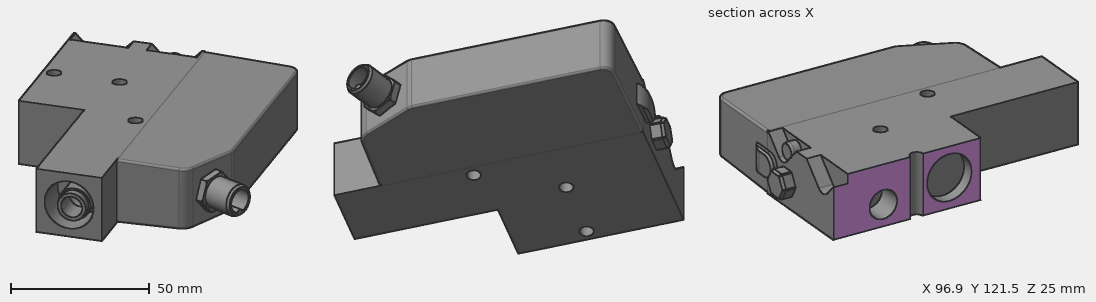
import math

import cadquery as cq

thickness = 25.0
mid_z = thickness / 2
half_width = 24.9
block_width = 2 * half_width
overall_length = 121.5
block_length = 116.3
step_y = 54.0

mount_hole_dia = 5.2
mount_holes = [(4.4, 81.0), (4.4 + half_width, 81.0), (45.3, 51.2)]
port_dia = 18.6
side_port_y = 67.2
side_port_depth = 9.4
side_hole_dia = 11.4
side_hole_y = 95.1
side_hole_z = 8.9
side_hole_depth = 14.6

end_port_x = 1.5 * half_width
end_port_depth = 14.6
nozzle_dia = 12.0
nozzle_tip_dia = 10.7
nozzle_bore_dia = 8.0
nozzle_z = 10.5
nozzle_recess = 2.9
nozzle_tip_length = 3.0
nozzle_bore_depth = 9.7
drill_point_half_angle = 59

notch_length = 6.0
left_notch_x = 11.7
left_notch_width = 22.1
left_notch_round_dia = 8.0
right_notch_x = 39.2
right_notch_width = 19.2
right_notch_round_dia = 7.0

plug_length = 4.1
plug_chamfer_length = 1.2
plug_chamfer = 0.4

head_x = 36.0
head_z = 10.3
head_flats = 10.2
head_dia = 11.4
head_height = overall_length - block_length
head_chamfer_height = 1.2
head_chamfer = 0.6

lever_x = 47.7
lever_radius = 5.0
lever_height = 2.5
lever_chamfer_height = 1.2
lever_chamfer = 0.6
lever_slope_x = 51.3
lever_slope_middle = (54.4, block_length + 1.6)
lever_foot_x = 57.1
lever_foot_drop = 0.4

housing_y = 17.0
housing_width = 36.6
housing_draft = 1.2
housing_corner_radius = 4.4
housing_foot_radius = 5.0
housing_edge_radius = 0.9
slope_foot = (76.2, 17.5)
slope_angle = 65

slope_to_axis = 12.5
nut_flats = 13.5
nut_turn = 11
nut_height = 3.0
nut_chamfer = 0.5
connector_dia = 12.0
connector_length = 14.5
connector_tip_dia = 10.7
connector_chamfer_length = 1.1
socket_dia = 9.0
socket_depth = 7.3
key_dia = 2.4

overlap = 2.4


def y_plane(x, y, z):
    """Sketch plane facing +Y: local x runs along -X, local y along +Z."""
    return cq.Plane(origin=(x, y, z), xDir=(-1, 0, 0), normal=(0, 1, 0))


def block_body():
    outline = [
        (half_width, 0),
        (block_width, 0),
        (block_width, block_length),
        (0, block_length),
        (0, step_y),
        (half_width, step_y),
    ]
    return cq.Workplane("XY").polyline(outline).close().extrude(thickness)


def mounting_holes():
    return cq.Workplane("XY").pushPoints(mount_holes).circle(mount_hole_dia / 2).extrude(thickness)


def side_hole(y, z, dia, depth):
    return cq.Workplane("YZ").center(y, z).circle(dia / 2).extrude(depth)


def notch_round_z(width, round_dia):
    """Height of the rounding axis of a 90-degree V notch open at the top."""
    return thickness - width / 2 + round_dia / 2 * math.sqrt(2)


def notch(x, width, round_dia):
    radius = round_dia / 2
    axis_z = notch_round_z(width, round_dia) - thickness
    tangent = radius / math.sqrt(2)
    return (
        cq.Workplane(y_plane(x, block_length - notch_length, thickness))
        .moveTo(-width / 2, 0)
        .lineTo(-tangent, axis_z - tangent)
        .threePointArc((0, axis_z - radius), (tangent, axis_z - tangent))
        .lineTo(width / 2, 0)
        .close()
        .extrude(notch_length)
    )


def nozzle_port():
    """Space removed at the end port: the port around the nozzle, plus the nozzle bore."""
    port = cq.Workplane("XZ").center(end_port_x, mid_z).circle(port_dia / 2).extrude(-end_port_depth)
    nozzle_axis = cq.Workplane("XZ", origin=(end_port_x, nozzle_recess, nozzle_z))
    tip = nozzle_axis.circle(nozzle_tip_dia / 2).extrude(-end_port_depth)
    shank = nozzle_axis.workplane(offset=-nozzle_tip_length).circle(nozzle_dia / 2).extrude(-end_port_depth)
    nozzle = tip.union(shank)
    bore_radius = nozzle_bore_dia / 2
    bore_end = nozzle_recess + nozzle_bore_depth
    point_end = bore_end + bore_radius / math.tan(math.radians(drill_point_half_angle))
    bore = (
        cq.Workplane("XY", origin=(end_port_x, 0, nozzle_z))
        .polyline([(0, 0), (bore_radius, 0), (bore_radius, bore_end), (0, point_end)])
        .close()
        .revolve(360, (0, 0, 0), (0, 1, 0))
    )
    return port.cut(nozzle).union(bore)


def plug():
    z = notch_round_z(right_notch_width, right_notch_round_dia)
    return (
        cq.Workplane(y_plane(right_notch_x, block_length - notch_length - overlap, z))
        .circle(right_notch_round_dia / 2)
        .extrude(plug_length + overlap)
        .faces(">Y")
        .chamfer(plug_chamfer_length, plug_chamfer)
    )


def hex_head():
    corners_dia = head_flats / math.cos(math.pi / 6)
    plane = y_plane(head_x, block_length - overlap, head_z)
    rounded = (
        cq.Workplane(plane)
        .circle(head_dia / 2)
        .extrude(head_height + overlap)
        .faces(">Y")
        .chamfer(head_chamfer_height, head_chamfer)
    )
    return (
        cq.Workplane(plane)
        .polygon(6, corners_dia)
        .extrude(head_height + overlap)
        .faces(">Y")
        .chamfer(head_chamfer_height, head_chamfer)
        .intersect(rounded)
    )


def lever():
    """Bar with a round end, falling away in an arc toward the housing."""
    top_y = block_length + lever_height
    bar_length = lever_foot_x - lever_x
    body = (
        cq.Workplane(y_plane(lever_x, block_length - overlap, mid_z))
        .moveTo(0, lever_radius)
        .threePointArc((lever_radius, 0), (0, -lever_radius))
        .lineTo(-bar_length, -lever_radius)
        .lineTo(-bar_length, lever_radius)
        .close()
        .extrude(lever_height + overlap)
        .faces(">Y")
        .chamfer(lever_chamfer_height, lever_chamfer)
    )
    slope = (
        cq.Workplane("XY")
        .moveTo(lever_slope_x, top_y)
        .threePointArc(lever_slope_middle, (lever_foot_x, block_length - lever_foot_drop))
        .lineTo(lever_foot_x, top_y)
        .close()
        .extrude(thickness)
    )
    return body.cut(slope)


def housing():
    """Drafted box with a sloping corner for the connector and rounded edges."""
    length = block_length - housing_y
    body = (
        cq.Workplane("YZ", origin=(block_width, housing_y + length / 2, mid_z))
        .rect(length, thickness)
        .extrude(housing_width, taper=housing_draft)
    )
    far_x = block_width + 2 * housing_width
    rise = math.tan(math.radians(slope_angle))
    foot_x, foot_y = slope_foot
    corner = (
        cq.Workplane("XY")
        .moveTo(foot_x - foot_y / rise, 0)
        .lineTo(far_x, 0)
        .lineTo(far_x, foot_y + (far_x - foot_x) * rise)
        .close()
        .extrude(thickness)
    )
    body = body.cut(corner)
    right_x = block_width + housing_width
    slope_top_y = foot_y + (right_x - foot_x) * rise
    rounded_corners = [
        (right_x, block_length, housing_corner_radius),
        (foot_x, foot_y, housing_foot_radius),
        (right_x, slope_top_y, housing_corner_radius),
    ]
    for x, y, radius in rounded_corners:
        body = body.edges(cq.NearestToPointSelector((x, y, mid_z))).fillet(radius)
    for z in (0, thickness):
        flank = cq.NearestToPointSelector((block_width + housing_width / 2, block_length / 2, z))
        body = body.faces(flank).edges("not(<X)").fillet(housing_edge_radius)
    return body


def connector():
    """Hex nut and keyed round socket, standing square to the sloping face."""
    slope = math.radians(slope_angle)
    along = (math.cos(slope), math.sin(slope), 0)
    outward = (math.sin(slope), -math.cos(slope), 0)
    outer_face = cq.DirectionMinMaxSelector(cq.Vector(*outward))
    foot_x, foot_y = slope_foot
    centre = (foot_x + slope_to_axis * along[0], foot_y + slope_to_axis * along[1], mid_z)
    base = cq.Workplane(cq.Plane(origin=centre, xDir=along, normal=outward))
    corners_dia = nut_flats / math.cos(math.pi / 6)
    round_blank = (
        base.workplane(offset=-overlap)
        .circle(corners_dia / 2)
        .extrude(nut_height + overlap)
        .faces(outer_face)
        .chamfer(nut_chamfer)
    )
    nut = (
        base.workplane(offset=-overlap)
        .transformed(rotate=(0, 0, nut_turn))
        .polygon(6, corners_dia)
        .extrude(nut_height + overlap)
        .intersect(round_blank)
    )
    barrel = (
        base.circle(connector_dia / 2)
        .extrude(connector_length)
        .faces(outer_face)
        .chamfer(connector_chamfer_length, (connector_dia - connector_tip_dia) / 2)
    )
    socket = base.workplane(offset=connector_length - socket_depth).circle(socket_dia / 2).extrude(socket_depth)
    key = (
        base.workplane(offset=connector_length - socket_depth)
        .center(0, -socket_dia / 2)
        .circle(key_dia / 2)
        .extrude(socket_depth)
    )
    return nut.union(barrel).cut(socket.cut(key))


result = (
    block_body()
    .cut(mounting_holes())
    .cut(side_hole(side_port_y, mid_z, port_dia, side_port_depth))
    .cut(side_hole(side_hole_y, side_hole_z, side_hole_dia, side_hole_depth))
    .cut(nozzle_port())
    .cut(notch(left_notch_x, left_notch_width, left_notch_round_dia))
    .cut(notch(right_notch_x, right_notch_width, right_notch_round_dia))
    .union(plug())
    .union(hex_head())
    .union(housing())
    .union(lever())
    .union(connector())
)